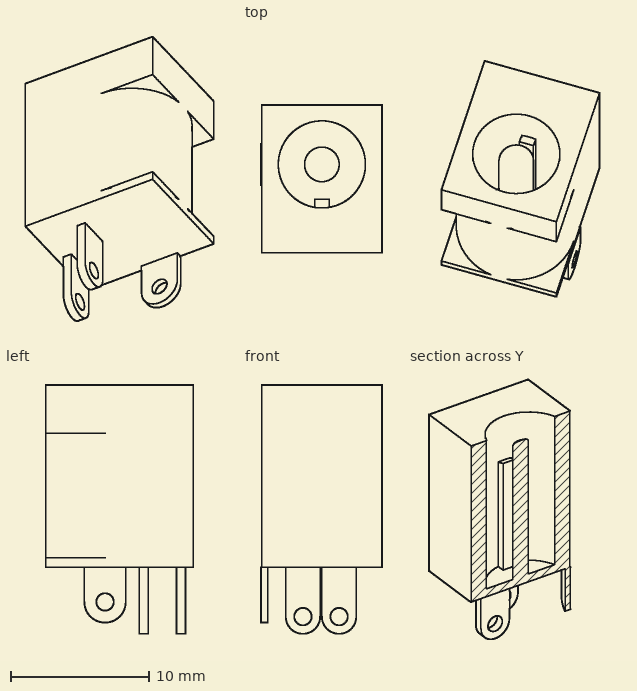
import cadquery as cq
import math

body_width = 8.7
body_depth = 10.7
body_height = 13.2
back_y = 4.3
front_y = back_y - body_depth

flange_thickness = 0.7
top_block_height = 3.51
barrel_radius = body_width / 2

socket_diameter = 6.3
socket_floor_z = flange_thickness
pin_diameter = 2.5
pin_recess = 1.0
pin_edge_radius = 0.25

spring_width = 1.06
spring_reach = 0.65
spring_top_z = body_height - top_block_height
spring_slope = 16

tab_hole_diameter = 1.25
front_tab_width = 2.5
front_tab_length = 4.8
front_tab_thickness = 0.67
front_tab_centers = [(-1.37, -5.49), (1.25, -2.79)]
side_tab_width = 3.0
side_tab_length = 4.0
side_tab_thickness = 0.5
side_tab_overhang = 0.05


def make_housing():
    """Block with both rear corners rounded between the flange and the top block."""
    housing = cq.Workplane("XY").box(body_width, body_depth, body_height, centered=(True, False, False))
    housing = housing.translate((0, front_y, 0))
    relief_height = body_height - top_block_height - flange_thickness
    relief = (
        cq.Workplane("XY", origin=(-body_width / 2, 0, flange_thickness))
        .rect(body_width, back_y, centered=False)
        .extrude(relief_height)
    )
    barrel = cq.Workplane("XY", origin=(0, 0, flange_thickness)).circle(barrel_radius).extrude(relief_height)
    return housing.cut(relief.cut(barrel))


def make_socket():
    """Cavity around the contact pin."""
    return (
        cq.Workplane("XY", origin=(0, 0, socket_floor_z))
        .circle(socket_diameter / 2)
        .extrude(body_height - socket_floor_z)
    )


def make_pin():
    """Contact pin standing on the socket floor, with a rounded tip."""
    pin = (
        cq.Workplane("XY", origin=(0, 0, socket_floor_z))
        .circle(pin_diameter / 2)
        .extrude(body_height - pin_recess - socket_floor_z)
    )
    return pin.faces(">Z").edges().fillet(pin_edge_radius)


def make_spring():
    """Contact on the socket's front wall, its top sloping down toward that wall."""
    inner_y = spring_reach - socket_diameter / 2
    outer_y = -socket_diameter / 2 - 0.18
    drop = (inner_y - outer_y) * math.tan(math.radians(spring_slope))
    return (
        cq.Workplane("YZ", origin=(-spring_width / 2, 0, 0))
        .moveTo(inner_y, socket_floor_z)
        .lineTo(inner_y, spring_top_z)
        .lineTo(outer_y, spring_top_z - drop)
        .lineTo(outer_y, socket_floor_z)
        .close()
        .extrude(spring_width)
    )


def make_tab(width, length, thickness):
    """Round-ended tab hanging below Z = 0, centred in X and Y, with its thickness along Y."""
    radius = width / 2
    end_z = radius - length
    tab = (
        cq.Workplane("XZ", origin=(0, thickness / 2, 0))
        .moveTo(-radius, 0)
        .lineTo(-radius, end_z)
        .threePointArc((0, -length), (radius, end_z))
        .lineTo(radius, 0)
        .close()
        .extrude(thickness)
    )
    hole = (
        cq.Workplane("XZ", origin=(0, thickness / 2, end_z))
        .circle(tab_hole_diameter / 2)
        .extrude(thickness)
    )
    return tab.cut(hole)


result = make_housing().cut(make_socket()).union(make_pin()).union(make_spring())

for tab_x, tab_y in front_tab_centers:
    front_tab = make_tab(front_tab_width, front_tab_length, front_tab_thickness)
    result = result.union(front_tab.translate((tab_x, tab_y, 0)))

side_tab = make_tab(side_tab_width, side_tab_length, side_tab_thickness).rotate((0, 0, 0), (0, 0, 1), 90)
side_tab_x = (side_tab_thickness - body_width) / 2 - side_tab_overhang
result = result.union(side_tab.translate((side_tab_x, 0, 0)))